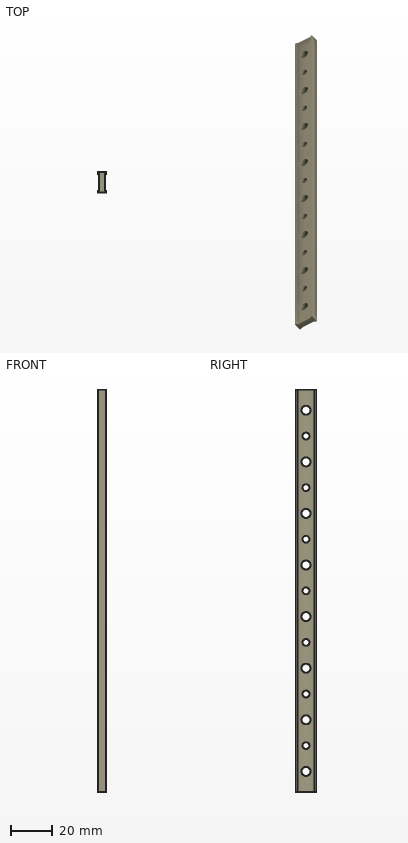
import cadquery as cq

DEPTH = 4.0
WIDTH = 10.0
LENGTH = 195.0

WEB_THICKNESS = 3.0
FLANGE_THICKNESS = 1.0

LARGE_HOLE_DIAMETER = 4.3
SMALL_HOLE_DIAMETER = 3.24
LARGE_HOLE_COUNT = 8
HOLE_PITCH = 25.0


def make_bar():
    """Solid I-section bar: a web along Y with a flange at each end."""
    web = cq.Workplane("XY").box(WEB_THICKNESS, WIDTH, LENGTH)
    flange_offset = (WIDTH - FLANGE_THICKNESS) / 2
    flanges = (
        cq.Workplane("XY")
        .pushPoints([(0, -flange_offset), (0, flange_offset)])
        .box(DEPTH, FLANGE_THICKNESS, LENGTH)
    )
    return web.union(flanges)


def make_hole_row(count, diameter):
    """Row of evenly spaced cylinders running along X, stacked in Z about the bar centre."""
    return (
        cq.Workplane("YZ", origin=(-DEPTH / 2, 0, 0))
        .rarray(HOLE_PITCH, HOLE_PITCH, 1, count)
        .circle(diameter / 2)
        .extrude(DEPTH)
    )


large_holes = make_hole_row(LARGE_HOLE_COUNT, LARGE_HOLE_DIAMETER)
small_holes = make_hole_row(LARGE_HOLE_COUNT - 1, SMALL_HOLE_DIAMETER)

result = make_bar().cut(large_holes).cut(small_holes)